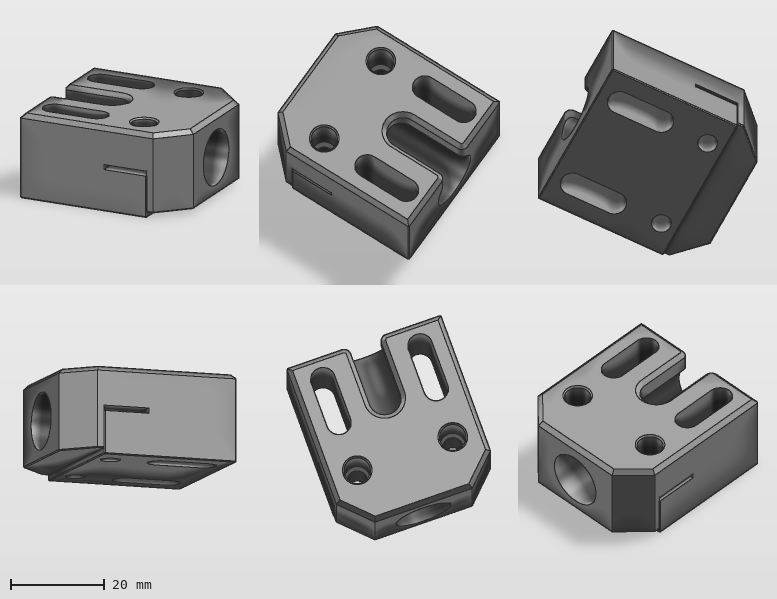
import cadquery as cq

length = 37.95
width = 34.9
height = 19.0
corner_cut = 6.45
top_chamfer = 1.0
small_chamfer = 0.23

base_length = 30.0
jaw_start = 19.9
jaw_bottom = 1.25
slit_bottom = 9.37
slit_top = 10.5

bore_diameter = 12.4
bore_z = height / 2
channel_width = 6.95
channel_end = 16.7
mouth_radius = 1.5

slot_length = 15.25
slot_width = 5.28
slot_x = 10.0
slot_y = 11.0

screw_x = 26.2
screw_y = 10.8
thread_diameter = 4.2
clearance_diameter = 5.6
screw_chamfer = 0.35


def make_base():
    """Rectangular base with lightly broken vertical and bottom edges."""
    base = cq.Workplane("XY").box(base_length, width, height, centered=(False, True, False))
    return base.edges("|Z").chamfer(small_chamfer).faces("<Z").edges().chamfer(small_chamfer)


def make_plan_prism(start_x, bottom_z):
    """Prism from bottom_z to the top, with the two +X corners cut."""
    half_width = width / 2
    outline = [
        (start_x, -half_width),
        (length - corner_cut, -half_width),
        (length, -half_width + corner_cut),
        (length, half_width - corner_cut),
        (length - corner_cut, half_width),
        (start_x, half_width),
    ]
    return (
        cq.Workplane("XY").workplane(offset=bottom_z)
        .polyline(outline).close().extrude(height - bottom_z)
    )


def make_jaw():
    """Upper +X part, stepped to clear the base's lower portion."""
    jaw = make_plan_prism(jaw_start, jaw_bottom).faces("<Z").edges().chamfer(small_chamfer)
    under_step = cq.Workplane("XY").box(
        base_length, width, slit_top, centered=(False, True, False)
    )
    return jaw.cut(under_step)


def trim_base(base):
    """Remove the base's upper +X portion, where the jaw sits."""
    seat = cq.Workplane("XY", origin=(jaw_start, 0, slit_bottom)).box(
        length, width, height, centered=(False, True, False)
    )
    return base.cut(seat)


def make_channel():
    """Round-ended channel whose mouth flares out with convex arcs."""
    half = channel_width / 2
    arc_x = channel_end - half
    flare = half + mouth_radius
    return (
        cq.Workplane("XY").workplane(offset=bore_z)
        .moveTo(0, flare)
        .radiusArc((mouth_radius, half), -mouth_radius)
        .lineTo(arc_x, half)
        .threePointArc((channel_end, 0), (arc_x, -half))
        .lineTo(mouth_radius, -half)
        .radiusArc((0, -flare), -mouth_radius)
        .close()
        .extrude(height - bore_z)
    )


def make_bore():
    return cq.Workplane("YZ").center(0, bore_z).circle(bore_diameter / 2).extrude(length)


def make_slots():
    return (
        cq.Workplane("XY")
        .pushPoints([(slot_x, -slot_y), (slot_x, slot_y)])
        .slot2D(slot_length, slot_width)
        .extrude(height)
    )


def make_screw_hole(y):
    """Threaded size through the base, clearance size through the jaw, chamfered mouth."""
    thread = cq.Workplane("XY").center(screw_x, y).circle(thread_diameter / 2).extrude(height)
    clearance = (
        cq.Workplane("XY", origin=(screw_x, y, slit_top))
        .circle(clearance_diameter / 2).extrude(height - slit_top)
    )
    mouth = (
        cq.Workplane("XY", origin=(screw_x, y, height))
        .circle(clearance_diameter / 2 + screw_chamfer)
        .extrude(-screw_chamfer, taper=45)
    )
    return thread.union(clearance).union(mouth)


envelope = make_plan_prism(0, 0).cut(make_channel())
envelope = envelope.faces(">Z").edges().chamfer(top_chamfer)

body = trim_base(make_base()).union(make_jaw()).intersect(envelope)
body = body.cut(make_bore()).cut(make_slots())
for screw_side in (-1, 1):
    body = body.cut(make_screw_hole(screw_side * screw_y))

result = body